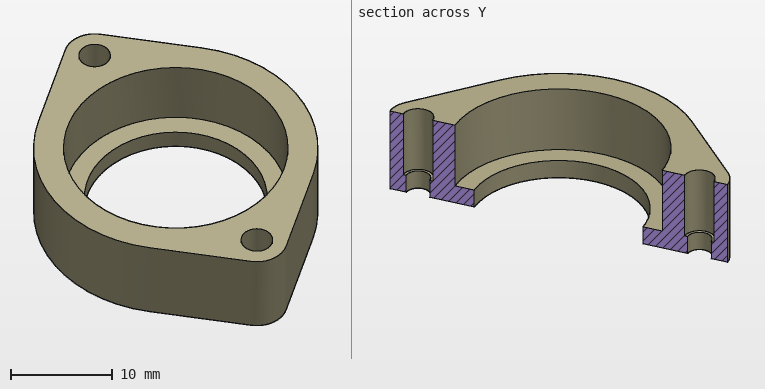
import cadquery as cq
import math

height = 9.0
ring_radius = 14.0
lobe_radius = 3.0
lobe_offset = 15.0

floor_thickness = 2.0

bore_diameter = 18.0
seat_diameter = 22.1

screw_diameter = 2.5
screw_entry_diameter = 3.1


def flange_body():
    """Ring and two lobes joined by the straight lines tangent to both."""
    tangent_cos = (ring_radius - lobe_radius) / lobe_offset
    tangent_sin = math.sqrt(1 - tangent_cos**2)
    ring_x = ring_radius * tangent_cos
    ring_y = ring_radius * tangent_sin
    lobe_x = lobe_offset + lobe_radius * tangent_cos
    lobe_y = lobe_radius * tangent_sin
    tip_x = lobe_offset + lobe_radius
    return (
        cq.Workplane("XY")
        .moveTo(ring_x, ring_y)
        .threePointArc((0, ring_radius), (-ring_x, ring_y))
        .lineTo(-lobe_x, lobe_y)
        .threePointArc((-tip_x, 0), (-lobe_x, -lobe_y))
        .lineTo(-ring_x, -ring_y)
        .threePointArc((0, -ring_radius), (ring_x, -ring_y))
        .lineTo(lobe_x, -lobe_y)
        .threePointArc((tip_x, 0), (lobe_x, lobe_y))
        .close()
        .extrude(height)
    )


def stepped_hole(x, through_diameter, entry_diameter):
    """Cutter on the X axis for a through hole that widens above the floor."""
    through = cq.Workplane("XY", origin=(x, 0, 0)).circle(through_diameter / 2).extrude(height)
    entry = (
        cq.Workplane("XY", origin=(x, 0, floor_thickness))
        .circle(entry_diameter / 2)
        .extrude(height - floor_thickness)
    )
    return through.union(entry)


result = flange_body().cut(stepped_hole(0, bore_diameter, seat_diameter))
for screw_x in (-lobe_offset, lobe_offset):
    result = result.cut(stepped_hole(screw_x, screw_diameter, screw_entry_diameter))